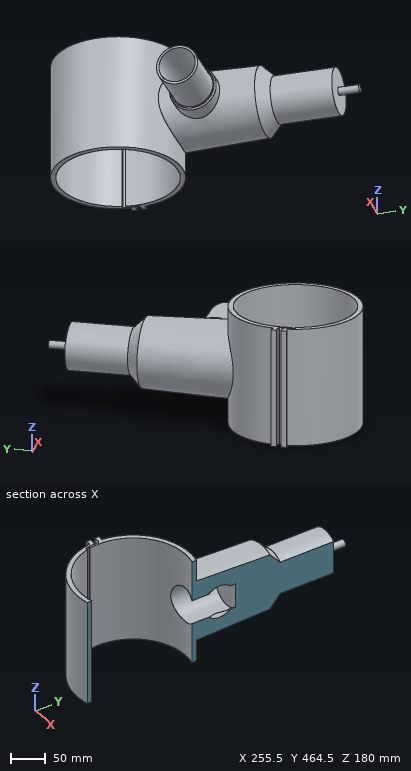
import cadquery as cq
import math

ring_outer_radius = 98.0
ring_inner_radius = 90.0
ring_height = 180.0

lug_tip = 106.0
lug_gap = 7.0
lug_outer_half_width = 11.5
tongue_outer_radius = 93.5
recess_radius = 94.0
tongue_end = -16.0
recess_end = -21.0
gap_corner = 2.0

body_base_y = 79.0
body_base_radius = 58.0
body_shoulder_y = 223.5
body_shoulder_radius = 53.5
neck_start_y = 241.5
neck_radius = 36.0
neck_end_y = 335.0
pin_radius = 6.0
pin_end_y = 464.5 - ring_outer_radius

inlet_radius = 29.7
outlet_radius = 27.5

branch_y = 135.5
branch_radius = 31.0
branch_end_x = 255.5 - lug_tip
collar_radius = 35.5
collar_end_x = 74.5
collar_chamfer = 2.5


def on_circle(radius, y):
    """Point on the -X half of a ring-centred circle at the given Y."""
    return (-math.sqrt(radius**2 - y**2), y)


def extrude_ring_height(outline):
    return outline.extrude(ring_height).translate((0, 0, -ring_height / 2))


def make_split_ring():
    """One closed outline around the split, from lug to lug both outside and inside."""
    half_gap = lug_gap / 2
    lug_root = lug_outer_half_width * ring_outer_radius / lug_tip
    gap_root_x, _ = on_circle(tongue_outer_radius, half_gap)
    tongue_middle = (tongue_end + half_gap) / 2
    recess_middle = (recess_end - half_gap) / 2
    outline = (
        cq.Workplane("XY")
        .moveTo(gap_root_x - gap_corner, half_gap)
        .lineTo(-lug_tip, half_gap)
        .lineTo(-lug_tip, lug_outer_half_width)
        .lineTo(*on_circle(ring_outer_radius, lug_root))
        .threePointArc((ring_outer_radius, 0), on_circle(ring_outer_radius, -lug_root))
        .lineTo(-lug_tip, -lug_outer_half_width)
        .lineTo(-lug_tip, -half_gap)
        .lineTo(*on_circle(recess_radius, -half_gap))
        .threePointArc(on_circle(recess_radius, recess_middle), on_circle(recess_radius, recess_end))
        .lineTo(*on_circle(ring_inner_radius, recess_end))
        .threePointArc((ring_inner_radius, 0), on_circle(ring_inner_radius, tongue_end))
        .lineTo(*on_circle(tongue_outer_radius, tongue_end))
        .threePointArc(
            on_circle(tongue_outer_radius, tongue_middle),
            on_circle(tongue_outer_radius, half_gap - gap_corner),
        )
        .close()
    )
    return extrude_ring_height(outline)


def make_body():
    """Tapered body, shoulder, neck and pin as one turned shape, hollowed to clear the ring."""
    body = (
        cq.Workplane("XY")
        .polyline([
            (0, body_base_y),
            (-body_base_radius, body_base_y),
            (-body_shoulder_radius, body_shoulder_y),
            (-neck_radius, neck_start_y),
            (-neck_radius, neck_end_y),
            (-pin_radius, neck_end_y),
            (-pin_radius, pin_end_y),
            (0, pin_end_y),
        ])
        .close()
        .revolve(360, (0, 0, 0), (0, 1, 0))
    )
    wall_middle_radius = (ring_inner_radius + ring_outer_radius) / 2
    return body.cut(extrude_ring_height(cq.Workplane("XY").circle(wall_middle_radius)))


def make_branch():
    """Branch pipe with its chamfered collar, turned about an axis along X."""
    return (
        cq.Workplane("XY")
        .polyline([
            (0, branch_y),
            (0, branch_y - collar_radius),
            (collar_end_x - collar_chamfer, branch_y - collar_radius),
            (collar_end_x, branch_y - collar_radius + collar_chamfer),
            (collar_end_x, branch_y - branch_radius),
            (branch_end_x, branch_y - branch_radius),
            (branch_end_x, branch_y),
        ])
        .close()
        .revolve(360, (0, branch_y, 0), (1, branch_y, 0))
    )


def make_passage():
    """Passage from the ring along the body, turning out through the branch."""
    inlet_end_y = branch_y + outlet_radius
    inlet = cq.Workplane("XZ").circle(inlet_radius).extrude(-inlet_end_y)
    outlet = cq.Workplane("YZ").center(branch_y, 0).circle(outlet_radius).extrude(branch_end_x)
    return inlet.union(outlet)


result = make_split_ring().union(make_body()).union(make_branch()).cut(make_passage())